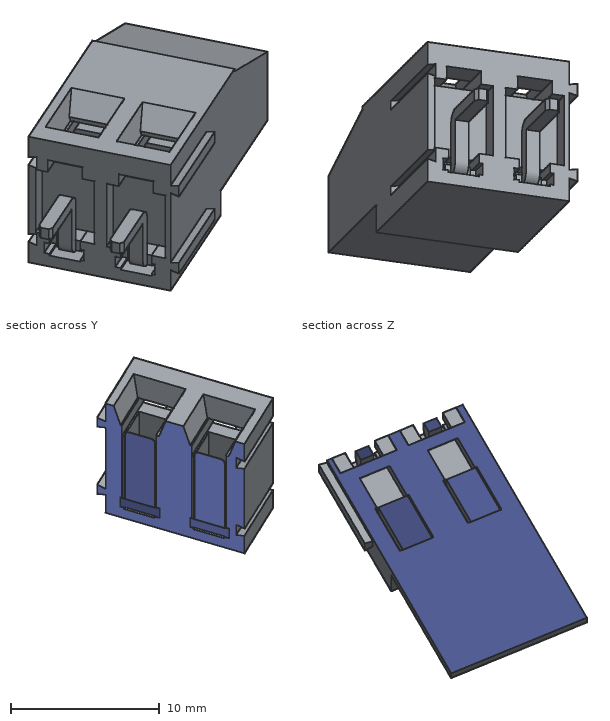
import cadquery as cq


pitch = 5.08
pole_count = 2
first_pole_x = pitch / 2
cavity_offset = 0.07

width = pole_count * pitch
height = 10.1
length = 19.02
slope_start_y = 12.55
slope_rear_z = 7.5
slope_step = 0.2
foot_length = 9.85
foot_height = 1.98

dovetail_heights = (1.95, 8.15)
dovetail_depth = 0.6
dovetail_neck = 0.62
dovetail_head = 0.9
dovetail_length = 7.02

pocket_width = 4.2
pocket_depth = 1.32
pocket_bottom = 2.53
pocket_top = 7.57
passage_width = 2.49
passage_top = 8.53

chamber_width = 2.21
chamber_front = 2.28
clamp_front = 4.9
room_end = 8.66
floor_slot_bottom = 0.9

entry_offset = 0.02
entry_width = 3.78
entry_front = 1.5
entry_rear = 6.61
entry_floor_width = 2.78
entry_floor_front = 2.0
entry_floor_rear = 5.05
entry_lip = 0.3

pin_thickness = 0.82
leg_front = 0.18
leg_rear = leg_front + pin_thickness
pin_width = 0.98
pin_reach = 3.78
pin_top = 5.63
tip_length = 0.27
tip_inset = 0.2
tail_bottom = 1.03
tail_top = tail_bottom + pin_thickness
tail_neck_width = 1.8
tail_width = 2.83
tail_shoulder_y = pocket_depth

clamp_width = 2.21
clamp_top = 8.07
clamp_corner = 0.32


def block(x_center, x_size, y_range, z_range):
    """Box centred on x_center that fills the given Y and Z ranges."""
    y_size = y_range[1] - y_range[0]
    z_size = z_range[1] - z_range[0]
    box = cq.Workplane("XY").box(x_size, y_size, z_size, centered=(True, False, False))
    return box.translate((x_center, y_range[0], z_range[0]))


def body_blank():
    """Side outline with the stepped, sloped rear top and the raised rear underside."""
    outline = [
        (0, 0),
        (foot_length, 0),
        (foot_length, foot_height),
        (length, foot_height),
        (length, slope_rear_z),
        (slope_start_y, height - slope_step),
        (slope_start_y, height),
        (0, height),
    ]
    return cq.Workplane("YZ").polyline(outline).close().extrude(width)


def dovetail(x_root, z_center):
    """Dovetail bar along Y that widens from x_root towards +X."""
    x_head = x_root + dovetail_depth
    outline = [
        (x_root, z_center - dovetail_neck / 2),
        (x_head, z_center - dovetail_head / 2),
        (x_head, z_center + dovetail_head / 2),
        (x_root, z_center + dovetail_neck / 2),
    ]
    return cq.Workplane("XZ").polyline(outline).close().extrude(-dovetail_length)


def wire_entry(x_center):
    """Funnel whose sides and front taper inwards, with a sloped rear wall above a short upright lip."""
    floor_length = entry_rear - entry_floor_front
    top_length = entry_rear - entry_front
    taper = (
        cq.Workplane("XY", origin=(x_center, entry_rear, passage_top))
        .center(0, -floor_length / 2)
        .rect(entry_floor_width, floor_length)
        .workplane(offset=height - passage_top)
        .center(0, (floor_length - top_length) / 2)
        .rect(entry_width, top_length)
        .loft(ruled=True)
    )
    side_outline = [
        (0, passage_top),
        (entry_floor_rear, passage_top),
        (entry_floor_rear, passage_top + entry_lip),
        (entry_rear, height),
        (0, height),
    ]
    side_limit = cq.Workplane("YZ").polyline(side_outline).close().extrude(width)
    return taper.intersect(side_limit)


def pole_cavity(pin_x):
    """Everything hollowed out of the housing for one pole."""
    x = pin_x + cavity_offset
    pocket = block(x, pocket_width, (0, pocket_depth), (pocket_bottom, pocket_top))
    passage = block(x, passage_width, (0, room_end), (pocket_top, passage_top))
    chamber = block(x, chamber_width, (chamber_front, clamp_front), (floor_slot_bottom, pocket_top))
    clamp_room = block(x, passage_width, (clamp_front, room_end), (tail_top, pocket_top))
    pin_channel = block(x, chamber_width, (0, chamber_front), (floor_slot_bottom, pocket_bottom))
    floor_slot = block(x, chamber_width, (0, foot_length), (floor_slot_bottom, tail_bottom))
    tail_slot = block(pin_x, tail_width, (0, room_end), (tail_bottom, tail_top))
    return (
        pocket.union(passage)
        .union(chamber)
        .union(clamp_room)
        .union(pin_channel)
        .union(floor_slot)
        .union(tail_slot)
        .union(wire_entry(pin_x + entry_offset))
    )


def make_housing(pole_xs):
    housing = body_blank()
    for z in dovetail_heights:
        housing = housing.cut(dovetail(0, z)).union(dovetail(width, z))
    for pin_x in pole_xs:
        housing = housing.cut(pole_cavity(pin_x))
    return housing


def make_pin(pin_x):
    """Strip that enters from the front, bends down, then bends back into the housing floor."""
    pin_bottom = pin_top - pin_thickness
    side = (
        cq.Workplane("YZ", origin=(pin_x - pin_width / 2, 0, 0))
        .moveTo(-pin_reach, pin_top)
        .lineTo(leg_front, pin_top)
        .radiusArc((leg_rear, pin_bottom), pin_thickness)
        .lineTo(leg_rear, tail_bottom)
        .radiusArc((leg_front, tail_top), pin_thickness)
        .lineTo(leg_front, pin_bottom)
        .lineTo(-pin_reach, pin_bottom)
        .close()
        .extrude(pin_width)
    )
    half_width = pin_width / 2
    tip_corners = cq.Workplane("XY", origin=(pin_x, 0, pin_bottom))
    for sign in (-1, 1):
        corner = [
            (sign * half_width, -pin_reach),
            (sign * (half_width - tip_inset), -pin_reach),
            (sign * half_width, -pin_reach + tip_length),
        ]
        side = side.cut(tip_corners.polyline(corner).close().extrude(pin_thickness))
    tail_neck = block(pin_x, tail_neck_width, (leg_rear, tail_shoulder_y), (tail_bottom, tail_top))
    tail = block(pin_x, tail_width, (tail_shoulder_y, room_end), (tail_bottom, tail_top))
    return side.union(tail_neck).union(tail)


def make_clamp(pin_x):
    """Clamp block that stands on the pin's tail, with its upper long edges rounded."""
    body = block(pin_x, clamp_width, (clamp_front, room_end), (tail_top, clamp_top))
    return body.faces(">Z").edges("|Y").fillet(clamp_corner)


pole_xs = [first_pole_x + i * pitch for i in range(pole_count)]
housing = make_housing(pole_xs)
pins = [make_pin(x).val() for x in pole_xs]
clamps = [make_clamp(x).val() for x in pole_xs]

result = cq.Compound.makeCompound([housing.val(), *pins, *clamps])